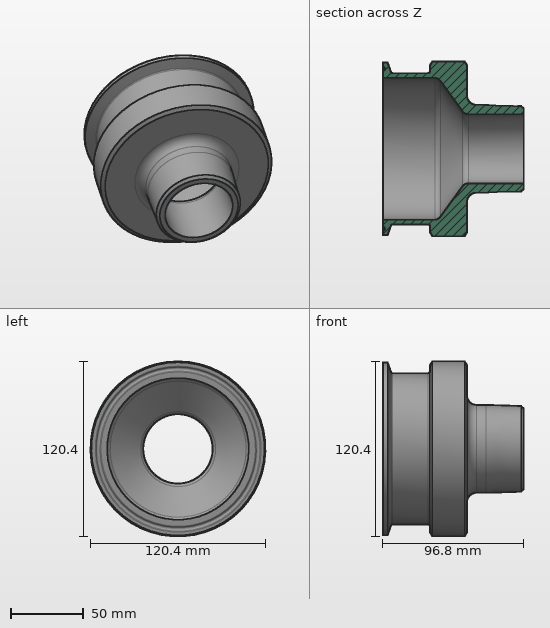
import math

import cadquery as cq

length = 96.85

flange_radius = 118.92 / 2
flange_rim_width = 3.2
flange_back_angle = math.radians(20)
neck_radius = 104.14 / 2
flange_fillet = 0.8
collar_fillet = 1.5

collar_radius = 120.4 / 2
collar_start = 32.3
collar_width = 25.5
collar_end = collar_start + collar_width
collar_chamfer_length = 1.6
collar_chamfer_angle = math.radians(60)
collar_chamfer_depth = collar_chamfer_length * math.tan(collar_chamfer_angle)

pipe_radius = 60.62 / 2
pipe_fillet = 6.35
taper_start = 70.5
taper_per_length = 1 / 32
end_chamfer = 2.0

large_bore_radius = 97.38 / 2
small_bore_radius = 47.5 / 2
cone_start = 35.5
cone_angle = math.radians(54)
cone_blend = 4.76

groove_radius = 110.04 / 2
groove_half_width = 1.97
groove_bottom_round = 1.45
groove_lip_round = 0.72


def arc_point(center, radius, angle):
    return (center[0] + radius * math.cos(angle), center[1] + radius * math.sin(angle))


def outer_body():
    quarter_turn = math.pi / 2
    back_angle = quarter_turn - flange_back_angle
    slope_drop = flange_radius - neck_radius - flange_fillet * (1 - math.cos(back_angle))
    back_end_x = flange_rim_width + slope_drop * math.tan(flange_back_angle)
    back_end_radius = flange_radius - slope_drop
    back_center = (back_end_x + flange_fillet * math.sin(back_angle), neck_radius + flange_fillet)
    back_middle = arc_point(back_center, flange_fillet, -quarter_turn - back_angle / 2)

    collar_fillet_center = (collar_start - collar_fillet, neck_radius + collar_fillet)
    pipe_fillet_center = (collar_end + pipe_fillet, pipe_radius + pipe_fillet)
    taper_end = length - end_chamfer
    taper_end_radius = pipe_radius - (taper_end - taper_start) * taper_per_length
    collar_shoulder = collar_radius - collar_chamfer_depth

    return (
        cq.Workplane("XZ")
        .moveTo(0, 0)
        .lineTo(0, flange_radius)
        .lineTo(flange_rim_width, flange_radius)
        .lineTo(back_end_x, back_end_radius)
        .threePointArc(back_middle, (back_center[0], neck_radius))
        .lineTo(collar_fillet_center[0], neck_radius)
        .threePointArc(
            arc_point(collar_fillet_center, collar_fillet, -math.pi / 4),
            (collar_start, collar_fillet_center[1]),
        )
        .lineTo(collar_start, collar_shoulder)
        .lineTo(collar_start + collar_chamfer_length, collar_radius)
        .lineTo(collar_end - collar_chamfer_length, collar_radius)
        .lineTo(collar_end, collar_shoulder)
        .lineTo(collar_end, pipe_fillet_center[1])
        .threePointArc(
            arc_point(pipe_fillet_center, pipe_fillet, -math.pi * 3 / 4),
            (pipe_fillet_center[0], pipe_radius),
        )
        .lineTo(taper_start, pipe_radius)
        .lineTo(taper_end, taper_end_radius)
        .lineTo(length, taper_end_radius - end_chamfer)
        .lineTo(length, 0)
        .close()
        .revolve(360, (0, 0, 0), (1, 0, 0))
    )


def passage():
    blend_drop = cone_blend * (1 - math.cos(cone_angle))
    blend_length = cone_blend * math.sin(cone_angle)
    cone_large_radius = large_bore_radius - blend_drop
    cone_small_radius = small_bore_radius + blend_drop
    cone_large_x = cone_start + blend_length
    cone_small_x = cone_large_x + (cone_large_radius - cone_small_radius) / math.tan(cone_angle)
    small_bore_start = cone_small_x + blend_length
    large_center = (cone_start, large_bore_radius - cone_blend)
    small_center = (small_bore_start, small_bore_radius + cone_blend)

    return (
        cq.Workplane("XZ")
        .moveTo(0, 0)
        .lineTo(0, large_bore_radius)
        .lineTo(cone_start, large_bore_radius)
        .threePointArc(
            arc_point(large_center, cone_blend, (math.pi - cone_angle) / 2),
            (cone_large_x, cone_large_radius),
        )
        .lineTo(cone_small_x, cone_small_radius)
        .threePointArc(
            arc_point(small_center, cone_blend, -(math.pi + cone_angle) / 2),
            (small_bore_start, small_bore_radius),
        )
        .lineTo(length, small_bore_radius)
        .lineTo(length, 0)
        .close()
        .revolve(360, (0, 0, 0), (1, 0, 0))
    )


def gasket_groove():
    center_distance = groove_bottom_round + groove_lip_round
    bottom_center_x = groove_lip_round - math.sqrt(center_distance**2 - groove_half_width**2)
    depth = bottom_center_x + groove_bottom_round
    lip_share = groove_lip_round / center_distance
    meeting_x = groove_lip_round + (bottom_center_x - groove_lip_round) * lip_share
    meeting_offset = groove_half_width * (1 - lip_share)
    lip_turn = math.asin(groove_half_width / center_distance)
    outer = groove_radius + groove_half_width
    inner = groove_radius - groove_half_width

    return (
        cq.Workplane("XZ")
        .moveTo(0, inner)
        .threePointArc(
            arc_point((groove_lip_round, inner), groove_lip_round, math.pi - lip_turn / 2),
            (meeting_x, groove_radius - meeting_offset),
        )
        .threePointArc((depth, groove_radius), (meeting_x, groove_radius + meeting_offset))
        .threePointArc(
            arc_point((groove_lip_round, outer), groove_lip_round, math.pi + lip_turn / 2),
            (0, outer),
        )
        .close()
        .revolve(360, (0, 0, 0), (1, 0, 0))
    )


result = outer_body().cut(passage()).cut(gasket_groove())